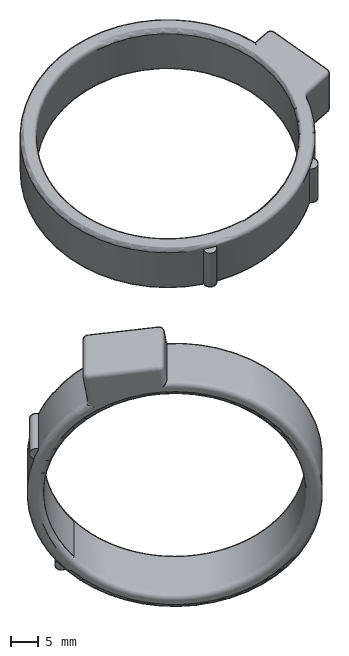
import cadquery as cq
import math

bore_radius = 24.0
outer_radius = 27.0
ring_height = 12.0
edge_radius = 1.0

electrode_start_angle = -5.0
electrode_span = 60.0
electrode_end_angle = electrode_start_angle + electrode_span
electrode_thickness = edge_radius
electrode_height = ring_height - 2 * edge_radius
electrode_bottom = edge_radius

rib_radius = 1.25

block_turn = 26.5
block_left = -2.5
block_width = 15.05
block_right = block_left + block_width
block_outer_face = 31.0
root_radius = 0.7


def make_ring_with_block():
    """Ring wall and block as one shape, shaped in the block's frame and then turned into place."""
    disc = cq.Workplane("XY").circle(outer_radius).extrude(ring_height)
    block = (
        cq.Workplane("XY")
        .box(block_width, block_outer_face, ring_height, centered=False)
        .translate((block_left, 0, 0))
        .edges("|Z and >Y")
        .fillet(edge_radius)
    )
    bore = cq.Workplane("XY").circle(bore_radius).extrude(ring_height)
    body = disc.union(block).cut(bore)
    body = body.faces("<Z or >Z").edges().fillet(edge_radius)

    root_point = (block_right, math.sqrt(outer_radius**2 - block_right**2), ring_height / 2)
    body = body.edges(cq.selectors.NearestToPointSelector(root_point)).fillet(root_radius)
    return body.rotate((0, 0, 0), (0, 0, 1), block_turn)


def make_marker_rib(angle):
    """Upright rod centred on the outer surface; only its outer half shows."""
    x = outer_radius * math.cos(math.radians(angle))
    y = outer_radius * math.sin(math.radians(angle))
    return (
        cq.Workplane("XY")
        .workplane(offset=electrode_bottom)
        .center(x, y)
        .circle(rib_radius)
        .extrude(electrode_height)
    )


def make_electrode():
    """Curved plate swept about the ring axis, from the start angle over the span."""
    return (
        cq.Workplane("XZ")
        .moveTo(bore_radius, electrode_bottom)
        .rect(electrode_thickness, electrode_height, centered=False)
        .revolve(electrode_span, (0, 0, 0), (0, 1, 0))
        .rotate((0, 0, 0), (0, 0, 1), electrode_start_angle)
    )


def make_housing(electrode):
    housing = make_ring_with_block()
    for angle in (electrode_start_angle, electrode_end_angle):
        housing = housing.union(make_marker_rib(angle))
    return housing.cut(electrode)


electrode = make_electrode()
housing = make_housing(electrode)

result = cq.Compound.makeCompound([housing.solids().val(), electrode.val()])